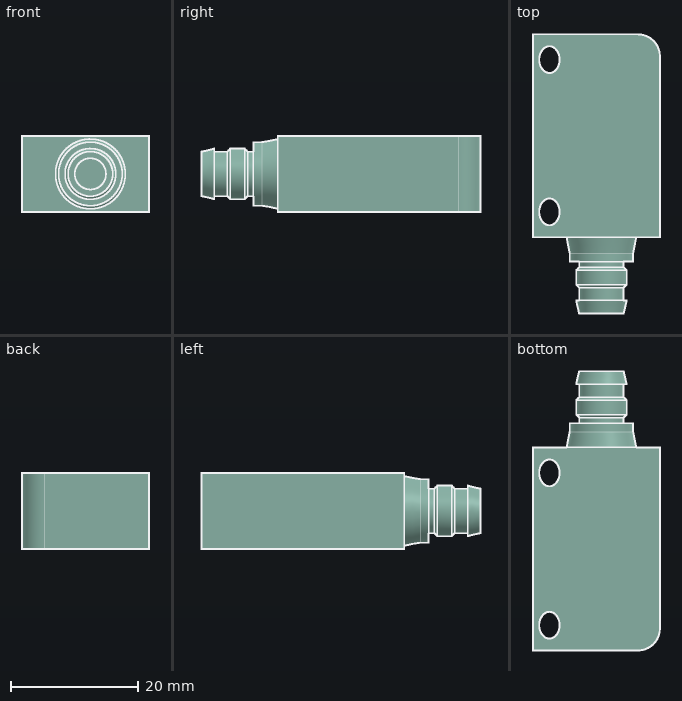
import cadquery as cq

total_length = 44.0
body_width = 20.0
body_length = 32.0
body_height = 12.0
corner_radius = 3.5

hole_width = 3.15
hole_length = 4.2
hole_from_side = 2.6
hole_from_end = 4.0

connector_x = 10.8
root_radius = 5.5
collar_radius = 5.0
stem_radius = 3.5
barb_radius = 4.0
bore_radius = 2.45
bore_depth = 3.0

taper_end = 2.5
collar_end = 3.85
ring_start = 4.7
ring_end = 7.9
barb_start = 9.95
connector_length = total_length - body_length
ring_chamfer = barb_radius - stem_radius


def make_body():
    """Block with its -X, -Y, bottom corner at the origin and one rounded corner."""
    block = cq.Workplane("XY").box(body_width, body_length, body_height, centered=False)
    return block.edges("|Z and >X and >Y").fillet(corner_radius)


def make_holes():
    """Two elliptical through holes near the -X side, one at each end."""
    return (
        cq.Workplane("XY")
        .pushPoints([(hole_from_side, hole_from_end), (hole_from_side, body_length - hole_from_end)])
        .ellipse(hole_width / 2, hole_length / 2)
        .extrude(body_height)
    )


def make_connector():
    """Half profile (radius, distance from the housing) revolved about the connector axis."""
    profile = [
        (0, 0),
        (root_radius, 0),
        (collar_radius, taper_end),
        (collar_radius, collar_end),
        (stem_radius, collar_end),
        (stem_radius, ring_start),
        (barb_radius, ring_start + ring_chamfer),
        (barb_radius, ring_end - ring_chamfer),
        (stem_radius, ring_end),
        (stem_radius, barb_start),
        (barb_radius, barb_start),
        (stem_radius, connector_length),
        (bore_radius, connector_length),
        (bore_radius, connector_length - bore_depth),
        (0, connector_length - bore_depth),
    ]
    axis_plane = cq.Plane(
        origin=(connector_x, 0, body_height / 2), xDir=(1, 0, 0), normal=(0, 0, 1)
    )
    points = [(radius, -distance) for radius, distance in profile]
    return cq.Workplane(axis_plane).polyline(points).close().revolve(360, (0, 0), (0, 1))


result = make_body().cut(make_holes()).union(make_connector())